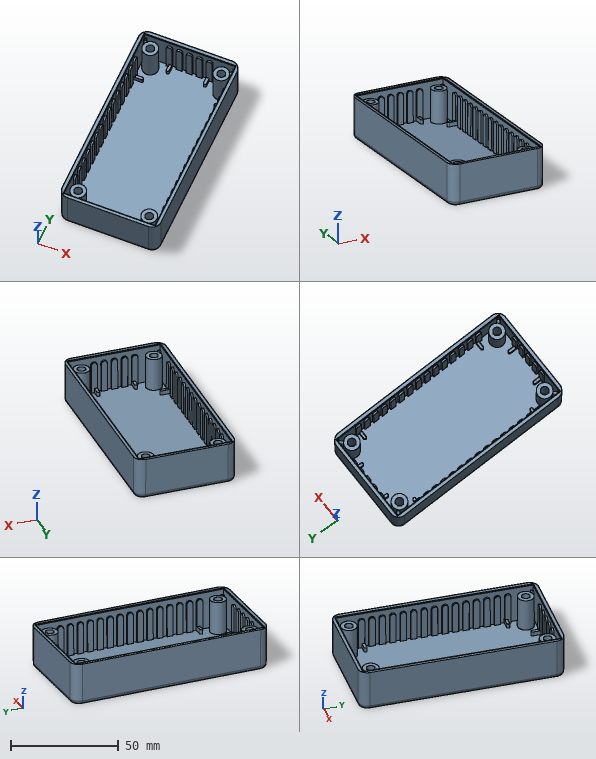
import cadquery as cq
import math

WIDTH = 50.0
LENGTH = 100.0
HEIGHT = 21.0
CORNER_RADIUS = 4.5
BASE_FILLET = 2.0
DRAFT = 0.28

WALL = 2.0
FLOOR = 2.0
CAVITY_WIDTH = WIDTH - 2 * WALL
CAVITY_LENGTH = LENGTH - 2 * WALL
SEAT_WIDTH = 0.25
SEAT_DEPTH = 0.5

POST_DIAMETER = 8.0
POST_HOLE_DIAMETER = 3.99
POST_TOP = 18.5
POST_X = 18.0
POST_Y = 43.0
POST_HOLE_DEPTH = POST_TOP - FLOOR

RIB_WIDTH = 3.0
RIB_DEPTH = 1.0
RIB_PITCH = 5.08
RIB_TOP = 18.0
LONG_WALL_RIBS = 15
SHORT_WALL_RIBS = 5

STOP_WIDTH = 1.5
STOP_TOP = FLOOR + 2.2
STOP_X = 9.4
STOP_Y = 34.7

WEB_WIDTH = 1.5
WEB_TOP = 16.5
CORNER_FILLER_TOP = 17.8
CORNER_FILLER_DEPTH = 0.95

OVERLAP = 0.5


def outer_shell():
    body = (
        cq.Workplane("XY", origin=(0, 0, HEIGHT))
        .sketch()
        .rect(WIDTH, LENGTH)
        .vertices()
        .fillet(CORNER_RADIUS)
        .finalize()
        .extrude(-HEIGHT, taper=DRAFT)
    )
    return body.faces("<Z").edges().fillet(BASE_FILLET)


def centred_pocket(width, length, bottom):
    """Drafted pocket of the given mouth size, open at the rim."""
    return cq.Workplane("XY", origin=(0, 0, HEIGHT)).rect(width, length).extrude(bottom - HEIGHT, taper=DRAFT)


def round_topped_bar(width, length, top):
    """Upright bar along +X from the origin, rooted in the floor, with a full-round top."""
    half = width / 2
    return (
        cq.Workplane("YZ")
        .moveTo(-half, FLOOR - OVERLAP)
        .lineTo(half, FLOOR - OVERLAP)
        .lineTo(half, top - half)
        .threePointArc((0, top), (-half, top - half))
        .close()
        .extrude(length)
    )


def add_wall_ribs(body):
    upright_rib = round_topped_bar(RIB_WIDTH, RIB_DEPTH + OVERLAP, RIB_TOP)
    rib = upright_rib.rotate((0, 0, RIB_TOP), (0, 1, RIB_TOP), DRAFT)
    for turn, wall, count in (
        (0, CAVITY_WIDTH / 2, LONG_WALL_RIBS),
        (90, CAVITY_LENGTH / 2, SHORT_WALL_RIBS),
        (180, CAVITY_WIDTH / 2, LONG_WALL_RIBS),
        (270, CAVITY_LENGTH / 2, SHORT_WALL_RIBS),
    ):
        for index in range(count):
            along = (index - (count - 1) / 2) * RIB_PITCH
            placed = rib.translate((wall - RIB_DEPTH, along, 0))
            body = body.union(placed.rotate((0, 0, 0), (0, 0, 1), turn))
    return body


def floor_stop(tip, wall):
    """Stop along +X, from a rounded tip to the wall, both given as distances from the origin."""
    half = STOP_WIDTH / 2
    return (
        cq.Workplane("XY", origin=(0, 0, FLOOR - OVERLAP))
        .moveTo(wall + OVERLAP, -half)
        .lineTo(tip + half, -half)
        .threePointArc((tip, 0), (tip + half, half))
        .lineTo(wall + OVERLAP, half)
        .close()
        .extrude(STOP_TOP - FLOOR + OVERLAP)
    )


def add_floor_stops(body):
    long_wall_stop = floor_stop(POST_X, CAVITY_WIDTH / 2)
    short_wall_stop = floor_stop(POST_Y, CAVITY_LENGTH / 2)
    for turn, stop, offset in (
        (0, long_wall_stop, STOP_Y),
        (90, short_wall_stop, STOP_X),
        (180, long_wall_stop, STOP_Y),
        (270, short_wall_stop, STOP_X),
    ):
        for along in (-offset, offset):
            placed = stop.translate((0, along, 0))
            body = body.union(placed.rotate((0, 0, 0), (0, 0, 1), turn))
    return body


def post_web():
    """Web along +X from a post axis at the origin, stepping up where it meets the cavity corner."""
    corner_distance = math.hypot(CAVITY_WIDTH / 2 - POST_X, CAVITY_LENGTH / 2 - POST_Y)
    filler = (
        cq.Workplane("XY", origin=(corner_distance - CORNER_FILLER_DEPTH, 0, FLOOR - OVERLAP))
        .rect(CORNER_FILLER_DEPTH, 2 * CORNER_FILLER_DEPTH, centered=(False, True))
        .extrude(CORNER_FILLER_TOP - FLOOR + OVERLAP)
    )
    return round_topped_bar(WEB_WIDTH, corner_distance, WEB_TOP).union(filler)


def add_posts(body):
    web = post_web()
    post = (
        cq.Workplane("XY", origin=(0, 0, FLOOR - OVERLAP))
        .circle(POST_DIAMETER / 2)
        .extrude(POST_TOP - FLOOR + OVERLAP, taper=DRAFT)
    )
    hole = (
        cq.Workplane("XY", origin=(0, 0, POST_TOP - POST_HOLE_DEPTH))
        .circle(POST_HOLE_DIAMETER / 2)
        .extrude(POST_HOLE_DEPTH)
    )
    for x_side in (-1, 1):
        for y_side in (-1, 1):
            centre = (x_side * POST_X, y_side * POST_Y, 0)
            web_angle = math.degrees(math.atan2(y_side, x_side))
            corner_web = web.rotate((0, 0, 0), (0, 0, 1), web_angle)
            body = body.union(post.union(corner_web).translate(centre))
            body = body.cut(hole.translate(centre))
    return body


shell = outer_shell()
shell = shell.cut(centred_pocket(CAVITY_WIDTH, CAVITY_LENGTH, FLOOR))
shell = shell.cut(
    centred_pocket(CAVITY_WIDTH + 2 * SEAT_WIDTH, CAVITY_LENGTH + 2 * SEAT_WIDTH, HEIGHT - SEAT_DEPTH)
)
shell = add_wall_ribs(shell)
shell = add_floor_stops(shell)
result = add_posts(shell)